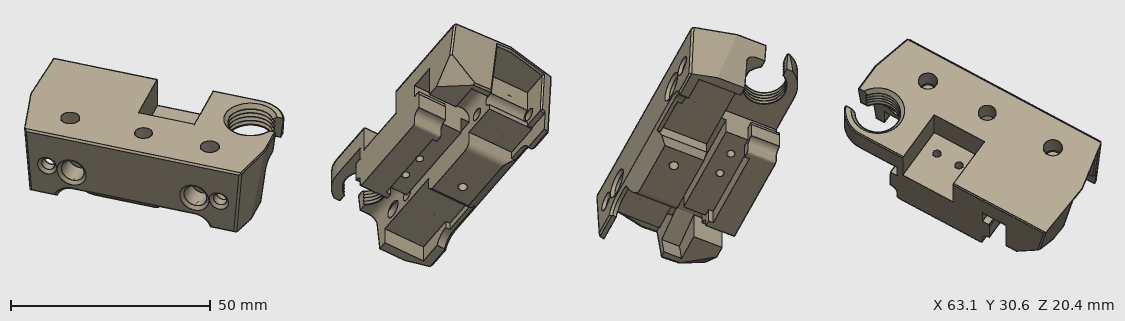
import cadquery as cq


LENGTH = 63.1
LEFT_X = -31.9
BACK_Y = 30.6
LEG_DEPTH = 18.9
TOTAL_DEPTH = 20.4
EDGE_CHAMFER = 0.5
RIM_CHAMFER = 0.3
OPENING_CHAMFER = 0.45
SIDE_NORMAL_LIMIT = -0.9
FRONT_LEFT_X = -28.7
FRONT_LEFT_FOOT_X = -27.25
FRONT_RIGHT_X = 28.5
FRONT_RIGHT_FOOT_X = 27.1
BACK_LEFT_X = -31.15
BACK_LEFT_FOOT_X = -27.6
LEFT_BEND_Y = 14.5
LEFT_BEND_FOOT_X = -28.75
LEFT_BEND_FOOT_Y = 6.9
RIGHT_BEND_Y = 11.35
RIGHT_BEND_FOOT_Y = 6.95
RIGHT_FOOT_X = 28.9
CHAMFER_SHARE = RIM_CHAMFER / LEG_DEPTH
RIGHT_X = (LEFT_X + LENGTH - RIGHT_FOOT_X * CHAMFER_SHARE) / (1 - CHAMFER_SHARE)

ROOF_DEPTH = 1.15
RING_DEPTH = 6.1
TRAY_DEPTH = 10.1
BLOCK_DEPTH = 13.75
WALL_DEPTH = 15.7
BLOCK_LEFT_X = -21.95
BLOCK_BACK_Y = 14.4
PASSAGE_RADIUS = 2.5
POCKET_FRONT_Y = 3.1
POCKET_BACK_Y = 17.9
LEG_THICKNESS = 1.7
LEG_STEP_DEPTH = 13.25
RIGHT_LEG_THICKNESS = 2.9
SIDE_WALL_INNER_X = -28.15
SIDE_WALL_INNER_DEPTH = 8.7
SIDE_WALL_FOOT_X = -26.9
RIGHT_WALL_INNER_X = 26.5
BACK_BLOCK_RIGHT_X = -19.55

BEVEL_TIP_X = -29.4
BEVEL_FRONT_X = -28.6
BEVEL_INNER_X = -22.7
BEVEL_TOP_DEPTH = 9.35
BEVEL_FRONT_Y = 22.5
BEVEL_CUT_SIZE = 63.1

ARCH_HALF_WIDTH = 20.2
ARCH_FLAT_HALF = 16.15
ARCH_MID_X = 18.55
ARCH_MID_DEPTH = 16.8
ARCH_DEPTH = 15.3
ARCH_LIP = 0.7

KEEL_LEFT_X = -12.55
KEEL_RIGHT_X = 6.2
KEEL_FILLET = 2.0
KEEL_CHAMFER = 1.6
KEEL_FOOT_Y = LEG_DEPTH - ARCH_DEPTH

CLIP_HALF_WIDTH = 12.6
CLIP_FRONT_Y = 22.8
CLIP_TOP_FILLET = 2.0
CLIP_FLARE_DEPTH = 16.0
CLIP_BOTTOM_FILLET = 0.75
CLIP_RECESS_HALF_WIDTH = 10.7
CLIP_RECESS_Y = 1.25
WEB_FRONT_Y = 16.8

NOTCH_LEFT_X = -3.9
NOTCH_RIGHT_X = 10.9
NOTCH_FRONT_Y = 15.8
NOTCH_DEPTH = 8.3
NOTCH_HOLE_DIAMETER = 2.0
NOTCH_HOLE_XS = (0.5, 7.0)
NOTCH_HOLE_Y = 20.7

RING_X = 23.5
RING_Y = 22.2
RING_OUTER_RADIUS = BACK_Y - RING_Y
RING_HOLE_RADIUS = 5.7
RING_RIM_RADIUS = 6.7
THREAD_PITCH = 1.2
THREAD_HEIGHT = 0.55
THREAD_TURNS = 4
SLOT_WIDTH = 6.0

TOP_HOLE_Y = 8.2
TOP_HOLE_XS = (-19.35, 17.55)
TOP_HOLE_DIAMETER = 4.7
TOP_HOLE_FLOOR_DIAMETER = 4.3
TOP_HOLE_DEPTH = 5.05
CENTRE_BORE_DIAMETER = 4.4
CENTRE_HOLE_DIAMETER = 2.4
BIG_HOLE_X = 16.2
BIG_HOLE_DEPTH = 10.5
BIG_BORE_DIAMETER = 6.0
BIG_BORE_LENGTH = 6.3
BIG_RIM_DIAMETER = 7.7
SMALL_HOLE_X = 22.7
SMALL_HOLE_DEPTH = 9.9
SMALL_RIM_DIAMETER = 5.05
SCREW_DIAMETER = 3.4
NUT_BORE_DIAMETER = 4.7


def box(x0, x1, y0, y1, depth, top=0.0):
    """A box between two heights given as depths below the top face."""
    corners = [(x0, y0), (x1, y0), (x1, y1), (x0, y1)]
    return cq.Workplane("XY", origin=(0, 0, -depth)).polyline(corners).close().extrude(depth - top)


def rod_y(x, depth, diameter, y0, y1):
    """A cylinder along Y."""
    return cq.Workplane("XZ", origin=(x, y0, -depth)).circle(diameter / 2).extrude(y0 - y1)


def cone_y(x, depth, rim_diameter, hole_diameter):
    """A 45-degree countersink entering from the front face."""
    height = (rim_diameter - hole_diameter) / 2
    return cq.Workplane(cq.Solid.makeCone(
        rim_diameter / 2, hole_diameter / 2, height,
        cq.Vector(x, 0, -depth), cq.Vector(0, 1, 0)))


def rod_z(x, y, diameter, depth):
    """A cylinder going down from the top face."""
    return cq.Workplane("XY", origin=(x, y, -depth)).circle(diameter / 2).extrude(depth)


def cone_z(x, y, rim_radius, hole_radius):
    """A 45-degree countersink going down from the top face."""
    return cq.Workplane(cq.Solid.makeCone(
        rim_radius, hole_radius, rim_radius - hole_radius,
        cq.Vector(x, y, 0), cq.Vector(0, 0, -1)))


def envelope():
    """Outer shape: sides lean inwards, front and back stand upright."""
    top = [(FRONT_LEFT_X, 0), (FRONT_RIGHT_X, 0), (RIGHT_X, RIGHT_BEND_Y),
           (RIGHT_X, BACK_Y), (BACK_LEFT_X, BACK_Y), (LEFT_X, LEFT_BEND_Y)]
    bottom = [(FRONT_LEFT_FOOT_X, 0), (FRONT_RIGHT_FOOT_X, 0), (RIGHT_FOOT_X, RIGHT_BEND_FOOT_Y),
              (RIGHT_FOOT_X, BACK_Y), (BACK_LEFT_FOOT_X, BACK_Y), (LEFT_BEND_FOOT_X, LEFT_BEND_FOOT_Y)]
    shape = (cq.Workplane("XY").polyline(top).close()
             .workplane(offset=-LEG_DEPTH).polyline(bottom).close().loft(ruled=True))
    corner = box(RING_X, RIGHT_X, RING_Y, BACK_Y, LEG_DEPTH).cut(
        rod_z(RING_X, RING_Y, 2 * RING_OUTER_RADIUS, LEG_DEPTH))
    shape = shape.faces("<Y").chamfer(EDGE_CHAMFER).cut(corner)
    rim = shape.faces(">Z").edges().filter(
        lambda edge: edge.Center().x > RING_X or edge.Center().y > RING_Y + RING_HOLE_RADIUS)
    return rim.chamfer(RIM_CHAMFER)


def passage_fillet():
    """Rounded inner corner between the underside of the ring slab and the back of the block."""
    back_y = BLOCK_BACK_Y + PASSAGE_RADIUS
    depth = RING_DEPTH + PASSAGE_RADIUS
    length = RIGHT_X - BLOCK_LEFT_X
    corner = box(BLOCK_LEFT_X, RIGHT_X, BLOCK_BACK_Y, back_y, depth, RING_DEPTH)
    return corner.cut(cq.Workplane("YZ", origin=(BLOCK_LEFT_X, back_y, -depth))
                      .circle(PASSAGE_RADIUS).extrude(length))


def side_wall():
    """Leaning left wall with the sloping underside that joins it to the back roof."""
    return (cq.Workplane("XZ", origin=(0, POCKET_BACK_Y, 0))
            .moveTo(LEFT_X, -RING_DEPTH)
            .lineTo(LEFT_X, -WALL_DEPTH)
            .lineTo(SIDE_WALL_FOOT_X, -WALL_DEPTH)
            .lineTo(SIDE_WALL_INNER_X, -SIDE_WALL_INNER_DEPTH)
            .lineTo(BACK_BLOCK_RIGHT_X, -RING_DEPTH)
            .close().extrude(POCKET_BACK_Y - BACK_Y))


def regions():
    """Everything inside the envelope that is solid."""
    solid = box(LEFT_X, RIGHT_X, 0, BACK_Y, ROOF_DEPTH)
    blocks = [
        box(BLOCK_LEFT_X, RIGHT_X, 0, BACK_Y, RING_DEPTH),
        box(LEFT_X, RIGHT_X, POCKET_BACK_Y, BACK_Y, RING_DEPTH),
        side_wall(),
        box(BLOCK_LEFT_X, RIGHT_X, 0, BLOCK_BACK_Y, BLOCK_DEPTH),
        passage_fillet(),
        box(LEFT_X, RIGHT_X, 0, POCKET_FRONT_Y, LEG_STEP_DEPTH),
        box(LEFT_X, RIGHT_X, 0, LEG_THICKNESS, LEG_DEPTH),
        box(ARCH_FLAT_HALF, RIGHT_X, 0, RIGHT_LEG_THICKNESS, LEG_DEPTH),
        box(RIGHT_WALL_INNER_X, RIGHT_X, 0, BLOCK_BACK_Y, LEG_DEPTH),
        box(LEFT_X, BACK_BLOCK_RIGHT_X, CLIP_FRONT_Y, BACK_Y, WALL_DEPTH),
        box(-CLIP_HALF_WIDTH, CLIP_HALF_WIDTH, BLOCK_BACK_Y, BACK_Y, TRAY_DEPTH),
        box(-CLIP_HALF_WIDTH, CLIP_HALF_WIDTH, WEB_FRONT_Y, BACK_Y, ARCH_DEPTH),
    ]
    for block in blocks:
        solid = solid.union(block)
    return solid


def arch_profile():
    """Outline of the opening under the front wall, with rounded shoulders."""
    crown = ARCH_DEPTH + ARCH_LIP
    return (cq.Workplane("XZ", origin=(0, ARCH_LIP, 0))
            .moveTo(-ARCH_HALF_WIDTH, -TOTAL_DEPTH)
            .lineTo(-ARCH_HALF_WIDTH, -LEG_DEPTH)
            .threePointArc((-ARCH_MID_X, -ARCH_MID_DEPTH), (-ARCH_FLAT_HALF, -crown))
            .lineTo(ARCH_FLAT_HALF, -crown)
            .threePointArc((ARCH_MID_X, -ARCH_MID_DEPTH), (ARCH_HALF_WIDTH, -LEG_DEPTH))
            .lineTo(ARCH_HALF_WIDTH, -TOTAL_DEPTH)
            .close())


def arch_cut():
    """Opening under the front wall, flared at the front face."""
    straight = arch_profile().extrude(-BLOCK_BACK_Y)
    flare = arch_profile().extrude(ARCH_LIP, taper=-45)
    return straight.union(flare)


def keel():
    """Block hanging under the middle, its front face sloping down and back from the wall lip."""
    profile = (cq.Workplane("YZ", origin=(KEEL_LEFT_X, 0, 0))
               .moveTo(ARCH_LIP, -ARCH_DEPTH - ARCH_LIP)
               .lineTo(KEEL_FOOT_Y, -LEG_DEPTH)
               .lineTo(BLOCK_BACK_Y, -LEG_DEPTH)
               .lineTo(BLOCK_BACK_Y, -RING_DEPTH)
               .lineTo(ARCH_LIP, -RING_DEPTH)
               .close())
    block = profile.extrude(KEEL_RIGHT_X - KEEL_LEFT_X)
    outline = box(KEEL_LEFT_X, KEEL_RIGHT_X, 0, BLOCK_BACK_Y, LEG_DEPTH)
    outline = outline.edges("<X and <Z").fillet(KEEL_FILLET)
    outline = outline.edges(">X and <Z").chamfer(KEEL_CHAMFER)
    return block.intersect(outline)


def clip():
    """Plate under the back: flared at the top, rounded below, recessed in front."""
    half = CLIP_HALF_WIDTH
    foot = CLIP_BOTTOM_FILLET
    flare = half + CLIP_TOP_FILLET
    right = (cq.Workplane("XZ", origin=(0, CLIP_FRONT_Y, 0))
             .moveTo(0, -TRAY_DEPTH)
             .lineTo(flare, -TRAY_DEPTH)
             .lineTo(flare, -CLIP_FLARE_DEPTH)
             .radiusArc((half, -CLIP_FLARE_DEPTH - CLIP_TOP_FILLET), -CLIP_TOP_FILLET)
             .lineTo(half, -TOTAL_DEPTH + foot)
             .radiusArc((half - foot, -TOTAL_DEPTH), foot)
             .lineTo(0, -TOTAL_DEPTH)
             .close().extrude(CLIP_FRONT_Y - BACK_Y))
    recess = box(-CLIP_RECESS_HALF_WIDTH, CLIP_RECESS_HALF_WIDTH, CLIP_FRONT_Y,
                 CLIP_FRONT_Y + CLIP_RECESS_Y, TOTAL_DEPTH, ARCH_DEPTH)
    return right.union(right.mirror("YZ")).cut(recess)


def notch():
    """Notch in the back edge and the two holes through its floor."""
    cut = box(NOTCH_LEFT_X, NOTCH_RIGHT_X, NOTCH_FRONT_Y, BACK_Y, NOTCH_DEPTH)
    for x in NOTCH_HOLE_XS:
        cut = cut.union(rod_z(x, NOTCH_HOLE_Y, NOTCH_HOLE_DIAMETER, TOTAL_DEPTH))
    return cut


def ring_cut():
    """Grooved hole and side slot of the split ring."""
    cut = rod_z(RING_X, RING_Y, 2 * RING_HOLE_RADIUS, RING_DEPTH)
    cut = cut.union(cone_z(RING_X, RING_Y, RING_RIM_RADIUS, RING_HOLE_RADIUS))
    crest = RING_HOLE_RADIUS
    half_pitch = THREAD_PITCH / 2
    for turn in range(THREAD_TURNS):
        mid = -(RING_RIM_RADIUS - RING_HOLE_RADIUS) - (turn + 0.5) * THREAD_PITCH
        groove = (cq.Workplane("XZ", origin=(RING_X, RING_Y, 0))
                  .moveTo(0, mid + half_pitch)
                  .lineTo(crest, mid + half_pitch)
                  .lineTo(crest + THREAD_HEIGHT, mid)
                  .lineTo(crest, mid - half_pitch)
                  .lineTo(0, mid - half_pitch)
                  .close().revolve(360, (0, 0, 0), (0, 1, 0)))
        cut = cut.union(groove)
    slot = box(RING_X, RIGHT_X, RING_Y - SLOT_WIDTH / 2, RING_Y + SLOT_WIDTH / 2, LEG_DEPTH)
    return cut.union(slot)


def coned_bore(x, diameter, floor_diameter):
    """A bore in the top face that narrows at 45 degrees to its floor."""
    cone = cone_z(x, TOP_HOLE_Y, diameter / 2, floor_diameter / 2)
    return rod_z(x, TOP_HOLE_Y, diameter, TOP_HOLE_DEPTH).union(cone.translate((0, 0, -TOP_HOLE_DEPTH)))


def top_holes():
    """Two blind holes and a stepped through hole between them."""
    cut = rod_z(0, TOP_HOLE_Y, CENTRE_HOLE_DIAMETER, LEG_DEPTH)
    cut = cut.union(coned_bore(0, CENTRE_BORE_DIAMETER, CENTRE_HOLE_DIAMETER))
    for x in TOP_HOLE_XS:
        cut = cut.union(coned_bore(x, TOP_HOLE_DIAMETER, TOP_HOLE_FLOOR_DIAMETER))
    return cut


def front_holes():
    """Counterbored screw holes and the smaller outer holes, all entering from the front."""
    cut = rod_y(SMALL_HOLE_X, SMALL_HOLE_DEPTH, SCREW_DIAMETER, 0, BACK_Y)
    cut = cut.union(rod_y(-SMALL_HOLE_X, SMALL_HOLE_DEPTH, SCREW_DIAMETER, 0, BLOCK_BACK_Y))
    for side in (-1, 1):
        big_x = side * BIG_HOLE_X
        small_x = side * SMALL_HOLE_X
        cut = cut.union(rod_y(big_x, BIG_HOLE_DEPTH, SCREW_DIAMETER, 0, BACK_Y))
        cut = cut.union(rod_y(big_x, BIG_HOLE_DEPTH, BIG_BORE_DIAMETER, 0, BIG_BORE_LENGTH))
        cut = cut.union(cone_y(big_x, BIG_HOLE_DEPTH, BIG_RIM_DIAMETER, BIG_BORE_DIAMETER))
        cut = cut.union(cone_y(small_x, SMALL_HOLE_DEPTH, SMALL_RIM_DIAMETER, SCREW_DIAMETER))
        cut = cut.union(rod_y(small_x, SMALL_HOLE_DEPTH, NUT_BORE_DIAMETER, POCKET_FRONT_Y, BLOCK_BACK_Y))
    return cut


def corner_bevel():
    """Sloping cut across the lower back corner of the left wall."""
    tip = cq.Vector(BEVEL_TIP_X, BACK_Y, -BEVEL_TOP_DEPTH)
    front = cq.Vector(BEVEL_FRONT_X, BEVEL_FRONT_Y, -WALL_DEPTH)
    inner = cq.Vector(BEVEL_INNER_X, BACK_Y, -WALL_DEPTH)
    normal = (front - tip).cross(inner - tip)
    plane = cq.Plane(origin=tip, normal=-normal if normal.z > 0 else normal)
    half_space = cq.Workplane(plane).rect(BEVEL_CUT_SIZE, BEVEL_CUT_SIZE).extrude(BEVEL_CUT_SIZE)
    return half_space.intersect(box(LEFT_X, BACK_BLOCK_RIGHT_X, POCKET_BACK_Y, BACK_Y, LEG_DEPTH))


def chamfer_opening(body):
    """Break the edges of the left side's outer faces, except along the top and the front leg."""
    sides = body.faces().filter(
        lambda face: face.Center().x < SIDE_WALL_FOOT_X and face.normalAt().x < SIDE_NORMAL_LIMIT)
    lower = sides.edges().filter(lambda edge: edge.Center().z < -ROOF_DEPTH / 2 - RIM_CHAMFER)
    edges = lower.filter(lambda edge: edge.Center().y > LEG_THICKNESS + RIM_CHAMFER)
    return edges.chamfer(OPENING_CHAMFER)


result = chamfer_opening(envelope().intersect(regions()))
result = result.cut(arch_cut())
result = result.union(keel()).union(clip())
for feature in (notch(), ring_cut(), top_holes(), front_holes(), corner_bevel()):
    result = result.cut(feature)